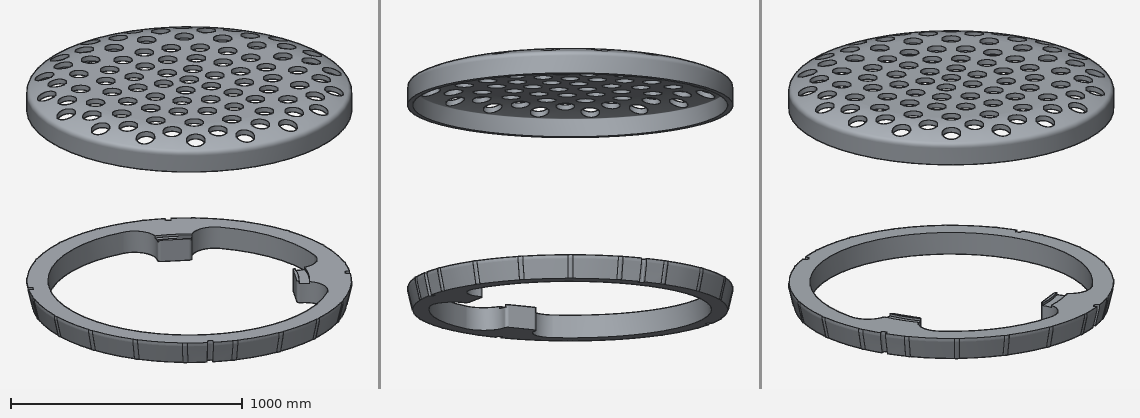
import cadquery as cq
import math

TOTAL_HEIGHT = 1040.0
COVER_RADIUS = 702.5

COVER_HEIGHT = 140.0
COVER_INNER_RADIUS = 680.0
COVER_THICKNESS = COVER_RADIUS - COVER_INNER_RADIUS
FLAT_RADIUS = 500.0
DOME_RADIUS = 450.0
RIM_FILLET = 25.0
HOLE_DIAMETER = 80.0
HOLE_CIRCLES = [
    (120.0, 6, 0.0),
    (240.0, 12, 0.0),
    (360.0, 18, 0.0),
    (480.0, 18, 10.0),
    (570.0, 18, 0.0),
    (630.0, 18, 10.0),
]

RING_HEIGHT = 100.0
RING_TOP_RADIUS = 700.0
RING_BOTTOM_RADIUS = 680.0
RING_BORE_RADIUS = 610.0
LIP_HEIGHT = 15.0
LIP_FILLET = 20.0

RIB_COUNT = 20
RIB_WIDTH = 15.0
RIB_PROTRUSION = 2.5
RIB_FILLET = 5.0
RIB_EMBED = 5.0

SLOT_COUNT = 4
SLOT_FIRST_ANGLE = 45.0
SLOT_WIDTH = 25.0
SLOT_DEPTH = 20.0
SLOT_FILLET = 5.0

TAB_ANGLES = [45.0, 135.0]
TAB_WIDTH = 150.0
TAB_TIP_RADIUS = 460.0
TAB_TIP_FILLET = 15.0
TAB_ROOT_FILLET = 100.0
TAB_EMBED = 20.0
GROOVE_INNER_RADIUS = 475.0
GROOVE_OUTER_RADIUS = 520.0
GROOVE_DEPTH = 10.0

COVER_BOTTOM = TOTAL_HEIGHT - COVER_HEIGHT
TAPER_HEIGHT = RING_HEIGHT - LIP_HEIGHT
TAPER_SHRINK = RING_TOP_RADIUS - RING_BOTTOM_RADIUS


def polar_point(center, radius, angle):
    """Point on a circle, with the angle in radians from the first axis."""
    return (
        center[0] + radius * math.cos(angle),
        center[1] + radius * math.sin(angle),
    )


def around_axis(shape, count, first_angle=0.0):
    """Copies of a solid spread evenly around the Z axis."""
    step = 360.0 / count
    return [
        shape.rotate(cq.Vector(0, 0, 0), cq.Vector(0, 0, 1), first_angle + i * step)
        for i in range(count)
    ]


def cap(inset):
    """Solid cap whose skin lies the given inset inside the outer skin of the cover."""
    dome_center = (FLAT_RADIUS, TOTAL_HEIGHT - DOME_RADIUS)
    fillet_run = COVER_RADIUS - RIM_FILLET - FLAT_RADIUS
    tangent_angle = math.acos(fillet_run / (DOME_RADIUS - RIM_FILLET))
    fillet_center = polar_point(dome_center, DOME_RADIUS - RIM_FILLET, tangent_angle)
    dome = DOME_RADIUS - inset
    fillet = RIM_FILLET - inset
    return (
        cq.Workplane("XZ")
        .moveTo(0, COVER_BOTTOM)
        .lineTo(0, TOTAL_HEIGHT - inset)
        .lineTo(FLAT_RADIUS, TOTAL_HEIGHT - inset)
        .threePointArc(
            polar_point(dome_center, dome, (math.pi / 2 + tangent_angle) / 2),
            polar_point(dome_center, dome, tangent_angle),
        )
        .threePointArc(
            polar_point(fillet_center, fillet, tangent_angle / 2),
            polar_point(fillet_center, fillet, 0),
        )
        .lineTo(COVER_RADIUS - inset, COVER_BOTTOM)
        .close()
        .revolve(360, (0, 0, 0), (0, 1, 0))
    )


def make_cover():
    drills = []
    for radius, count, first_angle in HOLE_CIRCLES:
        drill = cq.Solid.makeCylinder(
            HOLE_DIAMETER / 2, COVER_HEIGHT, cq.Vector(radius, 0, COVER_BOTTOM)
        )
        drills += around_axis(drill, count, first_angle)
    center_drill = cq.Solid.makeCylinder(
        HOLE_DIAMETER / 2, COVER_HEIGHT, cq.Vector(0, 0, COVER_BOTTOM)
    )
    drills.append(center_drill)
    shell = cap(0).cut(cap(COVER_THICKNESS))
    return cq.Workplane(shell.val().cut(*drills)).solids()


def ring_blank():
    return (
        cq.Workplane("XZ")
        .moveTo(RING_BORE_RADIUS, 0)
        .lineTo(RING_BOTTOM_RADIUS, 0)
        .lineTo(RING_TOP_RADIUS, TAPER_HEIGHT)
        .lineTo(RING_TOP_RADIUS, RING_HEIGHT)
        .lineTo(RING_BORE_RADIUS, RING_HEIGHT)
        .close()
        .revolve(360, (0, 0, 0), (0, 1, 0))
        .edges(cq.NearestToPointSelector((0, 0, TAPER_HEIGHT)))
        .fillet(LIP_FILLET)
    )


def follow_outside(outline):
    """Bar with a flat outline, upright beside the lip and leaning inward beside the taper."""
    wire = outline.val().moved(cq.Location(cq.Vector(0, 0, TAPER_HEIGHT)))
    upright = cq.Solid.extrudeLinear(wire, [], cq.Vector(0, 0, LIP_HEIGHT))
    leaning = cq.Solid.extrudeLinear(wire, [], cq.Vector(-TAPER_SHRINK, 0, -TAPER_HEIGHT))
    return upright.fuse(leaning)


def rib():
    """Low rib whose flanks are a root fillet running into an equal crown fillet."""
    half = RIB_WIDTH / 2
    crown = RING_TOP_RADIUS + RIB_PROTRUSION
    middle = RING_TOP_RADIUS + RIB_PROTRUSION / 2
    flank_angle = math.acos(1 - RIB_PROTRUSION / (2 * RIB_FILLET))
    flank_run = RIB_FILLET * math.sin(flank_angle)
    half_run = RIB_FILLET * math.sin(flank_angle / 2)
    half_rise = RIB_FILLET * (1 - math.cos(flank_angle / 2))
    root = half + flank_run
    top = half - flank_run
    inside = RING_TOP_RADIUS - RIB_EMBED
    outline = (
        cq.Workplane("XY")
        .moveTo(inside, -root)
        .lineTo(RING_TOP_RADIUS, -root)
        .threePointArc((RING_TOP_RADIUS + half_rise, half_run - root), (middle, -half))
        .threePointArc((crown - half_rise, -top - half_run), (crown, -top))
        .lineTo(crown, top)
        .threePointArc((crown - half_rise, top + half_run), (middle, half))
        .threePointArc((RING_TOP_RADIUS + half_rise, root - half_run), (RING_TOP_RADIUS, root))
        .lineTo(inside, root)
        .close()
    )
    return follow_outside(outline)


def slot():
    """Cutter for a slot with rounded floor corners, open outward."""
    half = SLOT_WIDTH / 2
    floor = RING_TOP_RADIUS - SLOT_DEPTH
    outside = RING_TOP_RADIUS + SLOT_DEPTH
    outline = (
        cq.Workplane("XY")
        .moveTo(outside, half)
        .lineTo(floor + SLOT_FILLET, half)
        .radiusArc((floor, half - SLOT_FILLET), -SLOT_FILLET)
        .lineTo(floor, SLOT_FILLET - half)
        .radiusArc((floor + SLOT_FILLET, -half), -SLOT_FILLET)
        .lineTo(outside, -half)
        .close()
    )
    return follow_outside(outline)


def make_tab():
    """Tab along +X with a flared root, rounded tip corners and a grooved top."""
    half = TAB_WIDTH / 2
    center_y = half + TAB_ROOT_FILLET
    center_distance = RING_BORE_RADIUS - TAB_ROOT_FILLET
    center_angle = math.asin(center_y / center_distance)
    center = (center_distance * math.cos(center_angle), center_y)
    touch_x, touch_y = polar_point((0, 0), RING_BORE_RADIUS, center_angle)
    middle_x, middle_y = polar_point(center, TAB_ROOT_FILLET, (center_angle - math.pi / 2) / 2)
    embedded = RING_BORE_RADIUS + TAB_EMBED
    body = (
        cq.Workplane("XY")
        .moveTo(TAB_TIP_RADIUS, -half)
        .lineTo(center[0], -half)
        .threePointArc((middle_x, -middle_y), (touch_x, -touch_y))
        .lineTo(embedded, -touch_y)
        .lineTo(embedded, touch_y)
        .lineTo(touch_x, touch_y)
        .threePointArc((middle_x, middle_y), (center[0], half))
        .lineTo(TAB_TIP_RADIUS, half)
        .close()
        .extrude(RING_HEIGHT)
        .edges("|Z and <X")
        .fillet(TAB_TIP_FILLET)
    )
    groove = (
        cq.Workplane("XY")
        .workplane(offset=RING_HEIGHT - GROOVE_DEPTH)
        .circle(GROOVE_OUTER_RADIUS)
        .circle(GROOVE_INNER_RADIUS)
        .extrude(GROOVE_DEPTH)
    )
    return body.cut(groove)


def make_ring():
    tab = make_tab().val()
    tabs = [tab.rotate(cq.Vector(0, 0, 0), cq.Vector(0, 0, 1), angle) for angle in TAB_ANGLES]
    ribs = around_axis(rib(), RIB_COUNT)
    slots = around_axis(slot(), SLOT_COUNT, SLOT_FIRST_ANGLE)
    ring_with_tabs = ring_blank().val().fuse(*tabs).clean()
    ring = ring_with_tabs.fuse(*ribs).cut(*slots)
    return cq.Workplane(ring).solids()


cover = make_cover()
base_ring = make_ring()
result = cq.Compound.makeCompound([cover.val(), base_ring.val()])